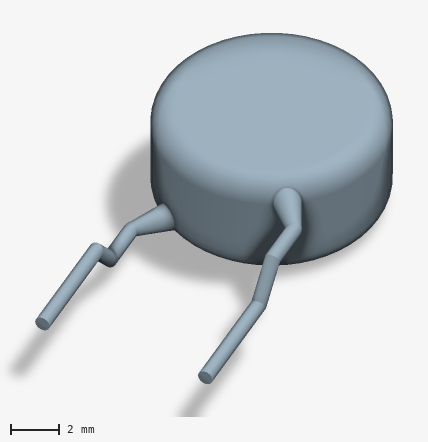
import cadquery as cq
import math


total_length = 18.8
disc_diameter = 10.0
disc_height = 5.0
disc_edge_radius = 1.0
wire_diameter = 0.65
elbow_inner_radius = 0.02
lead_offset_x = 3.75
elbow_end_y = -5.6
crank_start_y = -7.5
crank_end_y = -8.8
collar_angle = 54.0
collar_taper = 9.9
collar_length = 2.63

wire_radius = wire_diameter / 2
elbow_radius = wire_radius + elbow_inner_radius
elbow_turn = math.radians(90 - collar_angle)
lead_height = disc_height / 2 - disc_edge_radius
lead_tip_y = disc_diameter / 2 - total_length
collar_base_radius = wire_radius + collar_length * math.tan(math.radians(collar_taper))


def elbow_point(turn):
    """Point on the elbow centreline of the -X lead, at a turn back from its -Y run."""
    return cq.Vector(
        -lead_offset_x + elbow_radius * (1 - math.cos(turn)),
        elbow_end_y + elbow_radius * math.sin(turn),
        -lead_height,
    )


collar_tip = elbow_point(elbow_turn)
collar_direction = cq.Vector(math.sin(elbow_turn), math.cos(elbow_turn), 0)


def make_disc():
    """Coated disc with both rims rounded."""
    disc = cq.Workplane("XY").cylinder(disc_height, disc_diameter / 2)
    return disc.edges("%CIRCLE").fillet(disc_edge_radius).solids()


def make_collar(disc):
    """Tapered coating collar of the -X lead, ending on the surface of the disc."""
    cone = cq.Solid.makeCone(
        wire_radius, collar_base_radius, collar_length, pnt=collar_tip, dir=collar_direction
    )
    return cq.Workplane(cone).cut(disc).solids()


def make_lead():
    """Round wire of the -X lead: an elbow at the collar, then a mitred crank to mid-height."""
    elbow = cq.Edge.makeThreePointArc(collar_tip, elbow_point(elbow_turn / 2), elbow_point(0))
    corners = [
        elbow_point(0),
        cq.Vector(-lead_offset_x, crank_start_y, -lead_height),
        cq.Vector(-lead_offset_x, crank_end_y, 0),
        cq.Vector(-lead_offset_x, lead_tip_y, 0),
    ]
    runs = [cq.Edge.makeLine(start, end) for start, end in zip(corners, corners[1:])]
    path = cq.Wire.assembleEdges([elbow, *runs])
    section = cq.Plane(origin=collar_tip, normal=collar_direction * -1)
    return cq.Workplane(section).circle(wire_radius).sweep(path, transition="right")


disc = make_disc()

collars = []
leads = []
for turn in (0, 180):
    collars.append(make_collar(disc).rotate((0, 0, 0), (0, 1, 0), turn))
    leads.append(make_lead().rotate((0, 0, 0), (0, 1, 0), turn))

result = cq.Compound.makeCompound(
    [disc.val(), *[collar.val() for collar in collars], *[lead.val() for lead in leads]]
)